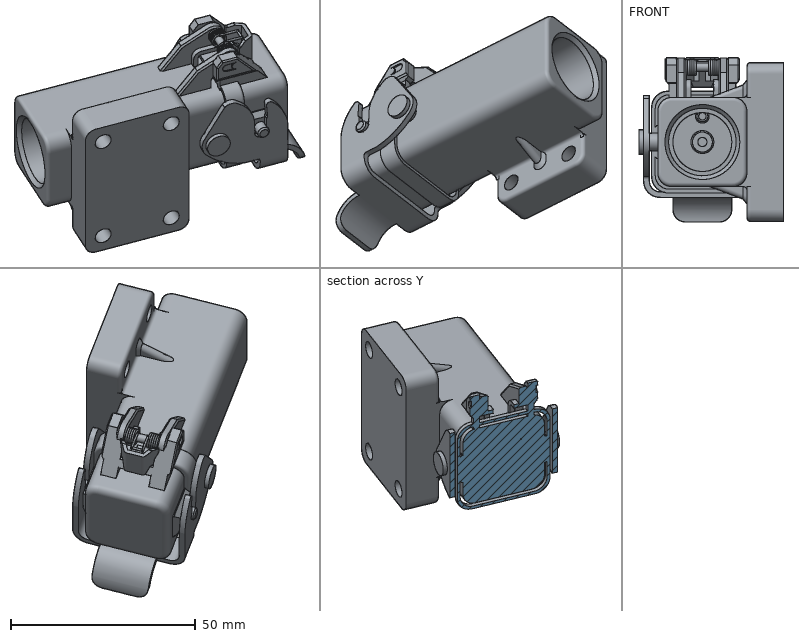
import cadquery as cq
import math


HALF = 12.1
LENGTH = 71.1
CORNER = 3.8
ENTRY_ROUND = 1.0
REAR_ROUND = 1.9
COLLAR_HALF = 13.8
COLLAR_START = 51.9
COLLAR_END = 57.35
COLLAR_ROUND = 0.8
COLLAR_GAP = 0.7
COLLAR_GAP_DEPTH = 2.3
CAP_HALF_HEIGHT = 12.5

BORE_R = 9.15
BORE_MOUTH_R = 10.2
MOUTH_DEPTH = 1.2
BORE_DEPTH = 12.2
INNER_R = 8.0
INNER_DEPTH = 46.55
STUD_R = 3.1
STUD_HOLE_R = 1.25
STUD_LENGTH = 7.75
STUD_CHAMFER = 0.4
CODE_PIN_Z = 7.0
CODE_PIN_R = 1.9
CODE_HOLE_R = 1.0

FLANGE_X = 22.0
FLANGE_HALF_Z = 21.6
FLANGE_START = 7.0
FLANGE_END = 37.4
FLANGE_MID = (FLANGE_START + FLANGE_END) / 2
FLANGE_CORNER = 3.1
FLANGE_ROUND = 1.0
MOUNT_R = 2.3
MOUNT_PITCH_Y = 20.0
MOUNT_PITCH_Z = 33.05
GUSSET_TIP_X = 2.0
GUSSET_TOP_Z = 15.9
GUSSET_R = 1.2
GUSSET_FLARE_R = 2.1
GUSSET_FLARE_LENGTH = 1.1

PLATE_OUT = 16.0
PLATE_IN = 14.35
BAIL_OUT_R = 4.5
STRAP_TOP = -13.5
STRAP_BOTTOM = -15.05
STRAP_START = 60.8
STRAP_END = 69.0
SLOT_REAR = 62.7
SLOT_FRONT = 59.3
TAB_HALF = 8.0
TAB_END_Y = 77.6
TAB_R = 8.2
TAB_TIP_Z = STRAP_TOP - TAB_R
TAB_CORNER = 3.4
PIVOT_Y = 48.2
PIVOT_R = 2.4
PIVOT_HEAD_R = 3.3
PIVOT_HEAD_X = 17.2

LUG_TOP = 4.4
LUG_SLOPE = 1.4
LUG_SLANT_END = 67.8
LUG_END = 66.4
PEG_Y = 61.6
PEG_R = 1.7
PEG_X = 16.9
PEG_CHAMFER = 0.5

LATCH_TOP = 22.9
COVER_IN = 7.05
COVER_OUT = 10.1
NECK_OUT = 9.1
NECK_TOP = 15.7
COVER_BOTTOM = 16.75
COVER_CHAMFER = 0.4
REAR_FOOT_Y = 66.0
REAR_TOP_Y = 56.65
REAR_WALL_IN = 4.65
REAR_WALL_Y = 57.8
PIN_Y = 56.2
PIN_Z = 20.25
PIN_R = 1.2
COVER_SLOT_END = 52.3
COVER_SLOT_DEPTH = 0.5
LEG_IN = 4.5
LEG_CHAMFER = 0.5
HOOK_IN = 3.0
HOOK_THICKNESS = 1.25
BRIDGE_REAR = 64.1
BRIDGE_WALL = 1.2
BRIDGE_BOTTOM = 14.8
WEB_TOP = 16.6
WEB_THICKNESS = 1.0
TONGUE_HALF = 0.85
TONGUE_TOP = 19.8
WIRE_R = 0.3
COIL_R = 1.9
COIL_PITCH = 0.58
COIL_TURNS = 5
COIL_START = 1.95
SPRING_LOOP_X = 1.55
SPRING_LOOP_Y = 61.7


def y_prism(half_x, half_z, y0, y1, radius):
    """Rounded square bar running along Y."""
    bar = cq.Workplane("XY").box(2 * half_x, y1 - y0, 2 * half_z).edges("|Y").fillet(radius)
    return bar.translate((0, (y0 + y1) / 2, 0))


def y_cylinder(radius, y0, y1, z=0.0):
    return cq.Workplane("XZ", origin=(0, y0, z)).circle(radius).extrude(y0 - y1)


def x_cylinder(radius, x0, x1, y, z=0.0):
    return cq.Workplane("YZ", origin=(x0, y, z)).circle(radius).extrude(x1 - x0)


def x_slab(points, x0, x1):
    """Polygon of (y, z) points spanning x0 to x1."""
    return cq.Workplane("YZ", origin=(x0, 0, 0)).polyline(points).close().extrude(x1 - x0)


def box(x0, x1, y0, y1, z0, z1):
    return cq.Workplane("XY").box(x1 - x0, y1 - y0, z1 - z0, centered=False).translate((x0, y0, z0))


def both_sides(shape):
    return shape.union(shape.mirror("YZ"))


def housing():
    overlap = 0.8
    body = y_prism(HALF, HALF, 0, COLLAR_START + overlap, CORNER).faces("<Y").edges().fillet(ENTRY_ROUND)
    collar = y_prism(COLLAR_HALF, COLLAR_HALF, COLLAR_START, COLLAR_END, BAIL_OUT_R)
    collar = collar.faces(">Y").edges().fillet(COLLAR_ROUND)
    cap = y_prism(HALF, CAP_HALF_HEIGHT, COLLAR_END - overlap, LENGTH, CORNER)
    cap = cap.faces(">Y").edges().fillet(REAR_ROUND)
    gap_half = HALF + COLLAR_GAP
    gap = y_prism(gap_half, gap_half, COLLAR_START, COLLAR_START + COLLAR_GAP_DEPTH, CORNER)
    gap = gap.cut(y_prism(HALF, HALF, 0, LENGTH, CORNER))
    return body.union(collar).union(cap).cut(gap)


def bore():
    stud_face = INNER_DEPTH - STUD_LENGTH
    profile = [
        (0, 0), (BORE_MOUTH_R, 0), (BORE_R, MOUTH_DEPTH), (BORE_R, BORE_DEPTH),
        (INNER_R, BORE_DEPTH), (INNER_R, INNER_DEPTH), (0, INNER_DEPTH),
    ]
    cavity = cq.Workplane("XY").polyline(profile).close().revolve(360, (0, 0), (0, 1))
    stud = y_cylinder(STUD_R, stud_face, INNER_DEPTH).faces("<Y").chamfer(STUD_CHAMFER)
    stud = stud.cut(y_cylinder(STUD_HOLE_R, stud_face, INNER_DEPTH))
    code_pin = y_cylinder(CODE_PIN_R, stud_face, INNER_DEPTH, CODE_PIN_Z).faces("<Y").chamfer(STUD_CHAMFER)
    code_pin = code_pin.cut(y_cylinder(CODE_HOLE_R, stud_face, INNER_DEPTH, CODE_PIN_Z))
    return cavity.cut(stud).cut(code_pin)


def flange():
    depth = FLANGE_X - HALF
    plate = box(HALF, FLANGE_X, FLANGE_START, FLANGE_END, -FLANGE_HALF_Z, FLANGE_HALF_Z)
    plate = plate.edges("|X").fillet(FLANGE_CORNER).faces("<X").edges().fillet(FLANGE_ROUND)
    neck = box(0, FLANGE_X - FLANGE_CORNER, FLANGE_START, FLANGE_END, -HALF, HALF)
    holes = (
        cq.Workplane("YZ", origin=(HALF, FLANGE_MID, 0))
        .rarray(MOUNT_PITCH_Y, MOUNT_PITCH_Z, 2, 2).circle(MOUNT_R).extrude(depth)
    )
    return plate.union(neck).cut(holes)


def flange_root_fillet():
    """Concave fillet between the housing top and the flange face."""
    wedge = box(HALF - FLANGE_ROUND, HALF, FLANGE_START, FLANGE_END, HALF, HALF + FLANGE_ROUND)
    hollow = y_cylinder(FLANGE_ROUND, FLANGE_START, FLANGE_END, HALF + FLANGE_ROUND)
    return wedge.cut(hollow.translate((HALF - FLANGE_ROUND, 0, 0)))


def gusset_section(x, centre_z, radius):
    """Round-topped outline across the gusset."""
    base = HALF - 0.8
    return (
        cq.Workplane("YZ", origin=(x, FLANGE_MID, 0))
        .moveTo(-radius, base).lineTo(-radius, centre_z)
        .threePointArc((0, centre_z + radius), (radius, centre_z))
        .lineTo(radius, base).close().val()
    )


def gusset():
    """Sloping round-topped rib bracing the flange, flared where it meets it."""
    run = HALF - GUSSET_TIP_X
    rise = GUSSET_TOP_Z - HALF
    slope_length = math.hypot(run, rise)
    drop = GUSSET_R * slope_length / run
    axis = cq.Plane(origin=(GUSSET_TIP_X, FLANGE_MID, HALF - drop), xDir=(0, 1, 0), normal=(run, 0, rise))
    crest = cq.Workplane(axis).circle(GUSSET_R).extrude(slope_length + GUSSET_R)
    web = (
        cq.Workplane("XZ", origin=(0, FLANGE_MID + GUSSET_R, 0))
        .polyline([(GUSSET_TIP_X, HALF - drop), (HALF, GUSSET_TOP_Z - drop), (HALF, HALF - drop)])
        .close().extrude(2 * GUSSET_R)
    )
    rib = crest.union(web).intersect(box(0, HALF, FLANGE_START, FLANGE_END, HALF - GUSSET_R, GUSSET_TOP_Z))

    flare_start = HALF - GUSSET_FLARE_LENGTH
    centre_z = GUSSET_TOP_Z - GUSSET_R
    narrow = gusset_section(flare_start, centre_z - GUSSET_FLARE_LENGTH * rise / run, GUSSET_R)
    wide = gusset_section(HALF, centre_z, GUSSET_FLARE_R)
    return rib.union(cq.Workplane(cq.Solid.makeLoft([narrow, wide], True)))


def side_plate():
    """Bail plate with a hooked slot that drops over the locking peg."""
    return (
        cq.Workplane("YZ", origin=(PLATE_IN, 0, 0))
        .moveTo(STRAP_END, STRAP_BOTTOM + BAIL_OUT_R)
        .lineTo(STRAP_END, 0)
        .threePointArc((67.5, 5.4), (64.3, 9.5))
        .threePointArc((63.2, 9.6), (SLOT_REAR, 8.5))
        .lineTo(63.0, 4.65)
        .lineTo(SLOT_REAR, 4.2)
        .lineTo(SLOT_REAR, 0)
        .threePointArc(((SLOT_REAR + SLOT_FRONT) / 2, (SLOT_FRONT - SLOT_REAR) / 2), (SLOT_FRONT, 0))
        .lineTo(59.1, 4.2)
        .threePointArc((57.7, 8.5), (54.6, 11.7))
        .threePointArc((52.4, 12.65), (50.35, 11.9))
        .lineTo(44.2, 2.1)
        .threePointArc((44.0, -1.4), (45.3, -3.4))
        .threePointArc((50.9, -7.6), (56.4, -9.4))
        .lineTo(60.0, -9.4)
        .threePointArc((60.6, -9.6), (STRAP_START, -10.25))
        .lineTo(STRAP_START, STRAP_BOTTOM + BAIL_OUT_R)
        .close().extrude(PLATE_OUT - PLATE_IN)
    )


def strap():
    """Bottom of the bail with its two bends."""
    thickness = PLATE_OUT - PLATE_IN
    bend_z = STRAP_BOTTOM + BAIL_OUT_R
    outer = y_prism(PLATE_OUT, -STRAP_BOTTOM, STRAP_START, STRAP_END, BAIL_OUT_R)
    inner = y_prism(PLATE_IN, -STRAP_TOP, STRAP_START, STRAP_END, BAIL_OUT_R - thickness)
    lower = box(-PLATE_OUT, PLATE_OUT, STRAP_START, STRAP_END, STRAP_BOTTOM, bend_z)
    return outer.cut(inner).intersect(lower)


def thumb_tab():
    thickness = STRAP_TOP - STRAP_BOTTOM
    centre_y = TAB_END_Y - TAB_R
    inner_r = TAB_R - thickness
    cos45 = math.cos(math.pi / 4)
    tab = (
        cq.Workplane("YZ", origin=(-TAB_HALF, 0, 0))
        .moveTo(STRAP_START, STRAP_TOP)
        .lineTo(centre_y, STRAP_TOP)
        .threePointArc((centre_y + TAB_R * cos45, TAB_TIP_Z + TAB_R * cos45), (TAB_END_Y, TAB_TIP_Z))
        .lineTo(TAB_END_Y - thickness, TAB_TIP_Z)
        .threePointArc((centre_y + inner_r * cos45, TAB_TIP_Z + inner_r * cos45), (centre_y, STRAP_BOTTOM))
        .lineTo(STRAP_START, STRAP_BOTTOM)
        .close().extrude(2 * TAB_HALF)
    )
    return tab.faces("<Z").edges("|Y").fillet(TAB_CORNER)


def bail():
    plate = side_plate()
    pivot = x_cylinder(PIVOT_R, HALF - 0.8, PLATE_OUT, PIVOT_Y)
    head = x_cylinder(PIVOT_HEAD_R, PLATE_OUT, PIVOT_HEAD_X, PIVOT_Y)
    return both_sides(plate.union(pivot).union(head)).union(strap()).union(thumb_tab())


def lug_and_peg():
    lug = (
        cq.Workplane("XY", origin=(0, 0, -LUG_TOP))
        .polyline([(HALF - 0.8, COLLAR_START), (COLLAR_HALF, COLLAR_START), (COLLAR_HALF, LUG_END),
                   (HALF, LUG_SLANT_END), (HALF - 0.8, LUG_SLANT_END)])
        .close().extrude(2 * LUG_TOP)
        .faces(">X").edges("|Y").chamfer(LUG_SLOPE)
    )
    peg = x_cylinder(PEG_R, HALF, PEG_X, PEG_Y).faces(">X").edges().chamfer(PEG_CHAMFER)
    return both_sides(lug.union(peg))


def latch_cover():
    """Shoulder block: narrow neck below, wider cover above, sloping rear."""
    front_y = 50.6
    side_shape = [
        (REAR_FOOT_Y, HALF), (REAR_TOP_Y, LATCH_TOP), (52.15, LATCH_TOP), (front_y, 20.95),
        (front_y, 16.1), (COLLAR_START, 15.8), (COLLAR_START, HALF),
    ]
    section = [
        (COVER_IN, HALF), (NECK_OUT, HALF), (NECK_OUT, NECK_TOP), (COVER_OUT, COVER_BOTTOM),
        (COVER_OUT, LATCH_TOP), (REAR_WALL_IN, LATCH_TOP), (REAR_WALL_IN, HALF),
    ]
    block = x_slab(side_shape, REAR_WALL_IN, COVER_OUT)
    limits = cq.Workplane("XZ", origin=(0, LENGTH, 0)).polyline(section).close().extrude(LENGTH)
    leg_space = box(0, COVER_IN, 0, REAR_WALL_Y, HALF, LATCH_TOP)
    slot_face = COVER_OUT - COVER_SLOT_DEPTH
    slot = box(slot_face, COVER_OUT, COVER_SLOT_END + PIN_R, PIN_Y, PIN_Z - PIN_R, PIN_Z + PIN_R)
    slot = slot.union(x_cylinder(PIN_R, slot_face, COVER_OUT, COVER_SLOT_END + PIN_R, PIN_Z))
    slot = slot.cut(x_cylinder(PIN_R, slot_face, COVER_OUT, PIN_Y, PIN_Z))
    block = block.intersect(limits).faces(">X").edges().chamfer(COVER_CHAMFER)
    return block.cut(leg_space).cut(slot)


def latch_leg():
    """Pressing lever: rounded over the hinge pin, sloping down to the housing."""
    heel_y = 58.8
    arch_y = 50.05
    apex_z = 24.7
    head_r = 3.25
    leg = x_slab([(39.4, HALF - 0.8), (46.2, 18.9), (heel_y, apex_z), (heel_y, HALF - 0.8)], LEG_IN, COVER_IN)
    leg = leg.edges("|X and >Y and >Z").fillet(head_r).faces("<X or >X").edges().chamfer(LEG_CHAMFER)
    arch = box(LEG_IN, COVER_IN, arch_y, heel_y, HALF - 0.8, NECK_TOP)
    arch = arch.edges("|X and <Y and >Z").fillet(HOOK_THICKNESS)
    foot = box(LEG_IN, COVER_IN, 0, LENGTH, 0, HALF)
    return leg.cut(arch).cut(foot)


def latch_hook():
    hook_y = 49.1
    hook = box(HOOK_IN, LEG_IN, hook_y, PIN_Y, HALF, NECK_TOP + HOOK_THICKNESS)
    hook = hook.edges("|X and <Y and >Z").fillet(2 * HOOK_THICKNESS)
    gap = box(HOOK_IN, LEG_IN, hook_y + HOOK_THICKNESS, PIN_Y, HALF, NECK_TOP)
    return hook.cut(gap.edges("|X and <Y and >Z").fillet(HOOK_THICKNESS))


def latch_bridge():
    """Trapezoidal wall tying the two shoulder blocks together behind the pin."""
    half_rear = 2.8
    half_front = 5.4
    inner_half_rear = 2.25
    inner_half_front = 4.3
    front_y = 59.1
    inner_rear = BRIDGE_REAR - BRIDGE_WALL
    outer = [(-half_front, front_y), (-half_rear, BRIDGE_REAR),
             (half_rear, BRIDGE_REAR), (half_front, front_y)]
    inner = [(-inner_half_front, front_y), (-inner_half_rear, inner_rear),
             (inner_half_rear, inner_rear), (inner_half_front, front_y)]
    relief_z = 21.9
    relief = [(61.3, LATCH_TOP), (59.6, relief_z), (front_y, relief_z), (front_y, LATCH_TOP)]
    height = LATCH_TOP - BRIDGE_BOTTOM
    plane = cq.Workplane("XY", origin=(0, 0, BRIDGE_BOTTOM))
    wall = plane.polyline(outer).close().extrude(height).edges("|Z and >Y").fillet(BRIDGE_WALL)
    wall = wall.cut(plane.polyline(inner).close().extrude(height))
    return wall.cut(x_slab(relief, -half_front, half_front))


def rear_slope_y(z):
    return REAR_FOOT_Y + (REAR_TOP_Y - REAR_FOOT_Y) * (z - HALF) / (LATCH_TOP - HALF)


def slope_strip(half_width, top):
    """Strip of the sloping rear wall, from the bridge foot up to the given height."""
    rear_low = rear_slope_y(BRIDGE_BOTTOM)
    rear_high = rear_slope_y(top)
    points = [(rear_low, BRIDGE_BOTTOM), (rear_high, top),
              (rear_high - WEB_THICKNESS, top), (rear_low - WEB_THICKNESS, BRIDGE_BOTTOM)]
    return x_slab(points, -half_width, half_width)


def latch_web():
    return slope_strip(REAR_WALL_IN + 0.8, WEB_TOP).union(slope_strip(TONGUE_HALF, TONGUE_TOP))


def pin_and_spring():
    """Hinge pin with a coil on each side and a wire loop between the coils."""
    parts = x_cylinder(PIN_R, -COVER_OUT, COVER_OUT, PIN_Y, PIN_Z)
    for turn in range(COIL_TURNS):
        x = COIL_START + turn * COIL_PITCH
        ring = cq.Solid.makeTorus(COIL_R, WIRE_R, cq.Vector(x, PIN_Y, PIN_Z), cq.Vector(1, 0, 0))
        parts = parts.union(both_sides(cq.Workplane(ring)))
    loop_z = PIN_Z + COIL_R
    arm = y_cylinder(WIRE_R, PIN_Y, SPRING_LOOP_Y, loop_z).translate((SPRING_LOOP_X, 0, 0))
    bar = x_cylinder(WIRE_R, -SPRING_LOOP_X, SPRING_LOOP_X, SPRING_LOOP_Y - WIRE_R, loop_z)
    return parts.union(both_sides(arm)).union(bar)


def build():
    part = housing().union(flange()).cut(bore())
    for brace in (flange_root_fillet(), gusset()):
        part = part.union(brace).union(brace.mirror("XY"))
    part = part.union(lug_and_peg()).union(bail())
    for feature in (latch_cover(), latch_leg(), latch_hook()):
        part = part.union(both_sides(feature))
    return part.union(latch_bridge()).union(latch_web()).union(pin_and_spring())


result = build()